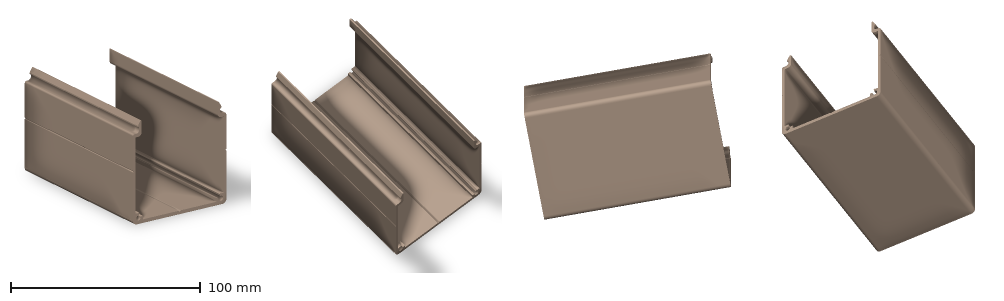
import cadquery as cq
import math

length = 100.0
width = 60.0
height = 57.7
half_width = width / 2

wall_thickness = 1.5
floor_thickness = 2.0
corner_radius = 2.5
wall_relief = 0.1

step_top = 50.9
step_bottom = 48.9
shoulder_radius = 1.0
step_inner_radius = 0.5
neck_inner_inset = 5.5
neck_outer_inset = 4.1
neck_inner_radius = 2.0
neck_outer_radius = 2.0

hook_inset = 3.2
hook_bottom = 54.3
hook_slope_start = 55.0
hook_top_inset = 4.8

channel_radius = 1.4
channel_inset = 3.6
channel_height = floor_thickness + channel_radius
lug_top = 6.1
lug_bottom = channel_height + channel_radius
lug_lip_start = 3.2
lug_peak = (3.6, 6.5)
lug_tip = (4.2, 5.9)
lug_bottom_inset = 3.9
rib_inner_inset = 6.4
rib_top = 4.1
rib_flat_inset = 5.8
rib_shoulder_height = 3.8

wall_groove_height = 30.0
wall_groove_width = 0.8
wall_groove_depth = 0.4
floor_groove_width = 1.2
floor_groove_depth = 0.6


def extrude_profile(profile):
    """Extrude a closed YZ profile along the part, centred on X = 0."""
    return profile.close().extrude(length / 2, both=True)


def side_sketch(inset, z):
    """Start a profile at a distance inward from the plane Y = -half_width."""
    return cq.Workplane("YZ", origin=(0, -half_width, 0)).moveTo(inset, z)


def make_wall():
    """Half of the floor with its wall, step and snap hook."""
    diagonal = math.sqrt(0.5)

    def arc_middle(center_inset, center_z, radius, side, up):
        return (center_inset + side * radius * diagonal, center_z + up * radius * diagonal)

    neck_inner_center = (neck_inner_inset - neck_inner_radius, step_bottom + neck_inner_radius)
    neck_outer_center = (neck_outer_inset - neck_outer_radius, step_top + neck_outer_radius)
    hook_rise = hook_bottom - neck_outer_center[1]
    hook_root_offset = math.sqrt(neck_outer_radius**2 - hook_rise**2)
    step_inner_center = (wall_thickness + step_inner_radius, step_bottom - step_inner_radius)
    shoulder_center = (wall_relief + shoulder_radius, step_top - shoulder_radius)
    return extrude_profile(
        side_sketch(half_width, 0)
        .lineTo(half_width, floor_thickness)
        .lineTo(wall_thickness, floor_thickness)
        .lineTo(wall_thickness, step_inner_center[1])
        .threePointArc(
            arc_middle(*step_inner_center, step_inner_radius, -1, 1),
            (step_inner_center[0], step_bottom),
        )
        .lineTo(neck_inner_center[0], step_bottom)
        .threePointArc(
            arc_middle(*neck_inner_center, neck_inner_radius, 1, -1),
            (neck_inner_inset, neck_inner_center[1]),
        )
        .lineTo(neck_inner_inset, height)
        .lineTo(hook_top_inset, height)
        .lineTo(hook_inset, hook_slope_start)
        .lineTo(hook_inset, hook_bottom)
        .lineTo(neck_outer_center[0] + hook_root_offset, hook_bottom)
        .threePointArc(
            arc_middle(*neck_outer_center, neck_outer_radius, 1, -1),
            (neck_outer_center[0], step_top),
        )
        .lineTo(shoulder_center[0], step_top)
        .threePointArc(
            arc_middle(*shoulder_center, shoulder_radius, -1, 1),
            (wall_relief, shoulder_center[1]),
        )
        .lineTo(wall_relief, corner_radius)
        .lineTo(0, corner_radius)
        .threePointArc(
            arc_middle(corner_radius, corner_radius, corner_radius, -1, -1),
            (corner_radius, 0),
        )
    )


def make_screw_channel():
    """Lipped upper lug and lower rib around an open round channel."""
    rib_offset = math.sqrt(channel_radius**2 - (rib_shoulder_height - channel_height) ** 2)
    rib_outer_inset = channel_inset + rib_offset
    lug = extrude_profile(
        side_sketch(wall_thickness / 2, lug_top)
        .lineTo(lug_lip_start, lug_top)
        .lineTo(*lug_peak)
        .lineTo(*lug_tip)
        .lineTo(lug_bottom_inset, lug_bottom)
        .lineTo(channel_inset, lug_bottom)
        .lineTo(channel_inset, floor_thickness / 2)
        .lineTo(channel_inset - channel_radius, floor_thickness / 2)
        .lineTo(wall_thickness / 2, corner_radius)
    )
    rib = extrude_profile(
        side_sketch(channel_inset, floor_thickness / 2)
        .lineTo(rib_inner_inset, floor_thickness / 2)
        .lineTo(rib_inner_inset, rib_top)
        .lineTo(rib_flat_inset, rib_top)
        .lineTo(rib_outer_inset, rib_shoulder_height)
        .lineTo(channel_inset, rib_shoulder_height)
    )
    bore = (
        cq.Workplane("YZ", origin=(0, -half_width, 0))
        .center(channel_inset, channel_height)
        .circle(channel_radius)
        .extrude(length / 2, both=True)
    )
    return lug.union(rib).cut(bore)


def make_wall_groove():
    """V-groove along the outer face of the wall."""
    return extrude_profile(
        side_sketch(wall_relief, wall_groove_height - wall_groove_width / 2)
        .lineTo(wall_relief + wall_groove_depth, wall_groove_height)
        .lineTo(wall_relief, wall_groove_height + wall_groove_width / 2)
    )


def make_floor_groove():
    """V-groove along the middle of the floor."""
    return extrude_profile(
        cq.Workplane("YZ")
        .moveTo(-floor_groove_width / 2, floor_thickness)
        .lineTo(0, floor_thickness - floor_groove_depth)
        .lineTo(floor_groove_width / 2, floor_thickness)
    )


side = make_wall().union(make_screw_channel()).cut(make_wall_groove())
result = side.union(side.mirror("XZ")).cut(make_floor_groove()).clean()